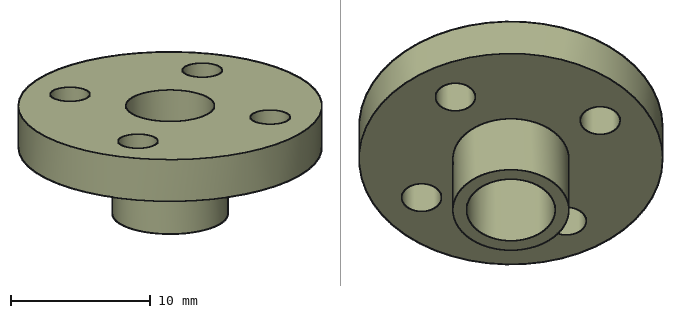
import cadquery as cq

flange_diameter = 21.72
total_height = 8.25
flange_thickness = 3.2

hub_diameter = 8.3
bore_diameter = 6.35

hole_count = 4
hole_diameter = 2.85
hole_circle_radius = 7.52

hub_length = total_height - flange_thickness


def make_body():
    """Round flange on top of a hub, with the hub's lower face at Z = 0."""
    hub = cq.Workplane("XY").circle(hub_diameter / 2).extrude(total_height)
    flange = (
        cq.Workplane("XY")
        .workplane(offset=hub_length)
        .circle(flange_diameter / 2)
        .extrude(flange_thickness)
    )
    return hub.union(flange)


def cut_bore(body):
    """Central bore through the flange and the hub."""
    return body.faces(">Z").workplane().hole(bore_diameter)


def cut_mounting_holes(body):
    """Equally spaced through holes, the first one on the X axis."""
    return (
        body.faces(">Z")
        .workplane()
        .polarArray(hole_circle_radius, 0, 360, hole_count)
        .hole(hole_diameter)
    )


result = cut_mounting_holes(cut_bore(make_body()))